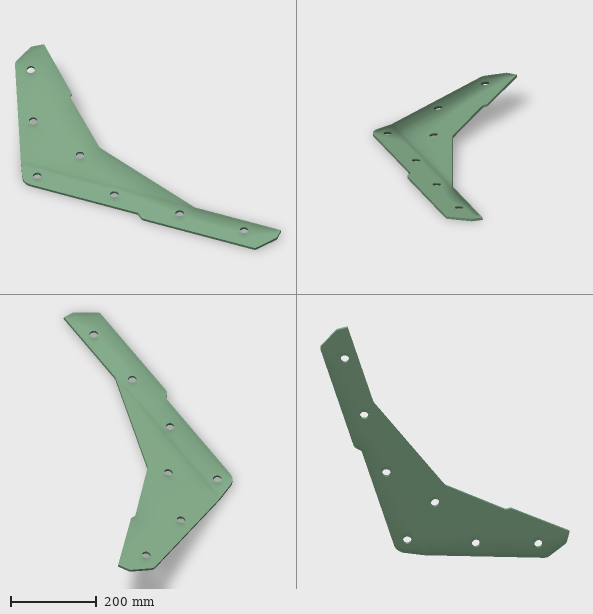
import cadquery as cq
import math

length = 761.5
thickness = 6.0
bend_angle = 10.0
bend_y = 74.5
inner_bend_radius = 11.5
hole_diameter = 20.0

fold_left_x = 113.5
step_height = 14.0
flange_corner = (141.0, step_height)
step_start = (429.0, step_height)
step_end = (443.0, 0)
nose_bottom = (726.0, 0)
nose_side = (length, 51.0)
hole_row_y = 47.0
flange_holes = [(164.5, hole_row_y), (355.0, 52.5), (520.0, hole_row_y), (681.0, hole_row_y)]

wing_length = 339.0
lip_height = 4.0
lip_start = (546.0, lip_height)
wing_elbow = (273.0, 98.0)
notch_bottom = (157.0, 214.0)
notch_top = (156.0, 226.0)
wing_tip = (46.0, wing_length)
tip_shoulder = (19.0, 323.0)
wing_side = (-1.5, 269.0)
wing_holes = [(42.0, 260.5), (98.0, 122.5), (237.5, 63.0)]

flange_corner_radius = 30.5
wing_side_radius = 19.0
step_radius = 15.0
small_corner_radius = 7.5

prism_height = 4 * thickness


def bent_sheet():
    """Oversized folded sheet with a rounded bend."""
    angle = math.radians(bend_angle)
    margin = 38.0
    reach = wing_length + margin
    bottom_end = (bend_y + reach * math.cos(angle), reach * math.sin(angle))
    top_end = (
        bottom_end[0] - thickness * math.sin(angle),
        bottom_end[1] + thickness * math.cos(angle),
    )
    top_fold = (bend_y - thickness * math.tan(angle / 2), thickness)
    profile = [(-margin, 0), (bend_y, 0), bottom_end, top_end, top_fold, (-margin, thickness)]
    sheet = (
        cq.Workplane("YZ", origin=(-margin, 0, 0))
        .polyline(profile)
        .close()
        .extrude(length + 2 * margin)
    )
    for fold, radius in [
        (top_fold, inner_bend_radius),
        ((bend_y, 0), inner_bend_radius + thickness),
    ]:
        nearest = cq.NearestToPointSelector((length / 2, *fold))
        sheet = sheet.edges("|X").edges(nearest).fillet(radius)
    return sheet


def panel_prism(outline, rounded_corners, holes):
    """Upright prism of one panel, with rounded corners and round holes."""
    prism = cq.Workplane("XY").polyline(outline).close().extrude(prism_height)
    for corner, radius in rounded_corners:
        nearest = cq.NearestToPointSelector((*corner, prism_height / 2))
        prism = prism.edges("|Z").edges(nearest).fillet(radius)
    drills = cq.Workplane("XY").pushPoints(holes).circle(hole_diameter / 2).extrude(prism_height)
    return prism.cut(drills).translate((0, 0, -prism_height / 2))


flange = panel_prism(
    [
        (fold_left_x, bend_y),
        flange_corner,
        step_start,
        step_end,
        nose_bottom,
        nose_side,
        (length, bend_y),
    ],
    [
        (flange_corner, flange_corner_radius),
        (step_end, step_radius),
        (nose_bottom, small_corner_radius),
        (nose_side, small_corner_radius),
    ],
    flange_holes,
)

wing = panel_prism(
    [
        (fold_left_x, 0),
        (length, 0),
        (length, lip_height),
        lip_start,
        wing_elbow,
        notch_bottom,
        notch_top,
        wing_tip,
        tip_shoulder,
        wing_side,
    ],
    [
        (notch_bottom, small_corner_radius),
        (tip_shoulder, small_corner_radius),
        (wing_side, wing_side_radius),
    ],
    wing_holes,
)
wing = wing.rotate((0, 0, 0), (1, 0, 0), bend_angle).translate((0, bend_y, 0))

sheet = bent_sheet()
result = sheet.intersect(flange).union(sheet.intersect(wing))